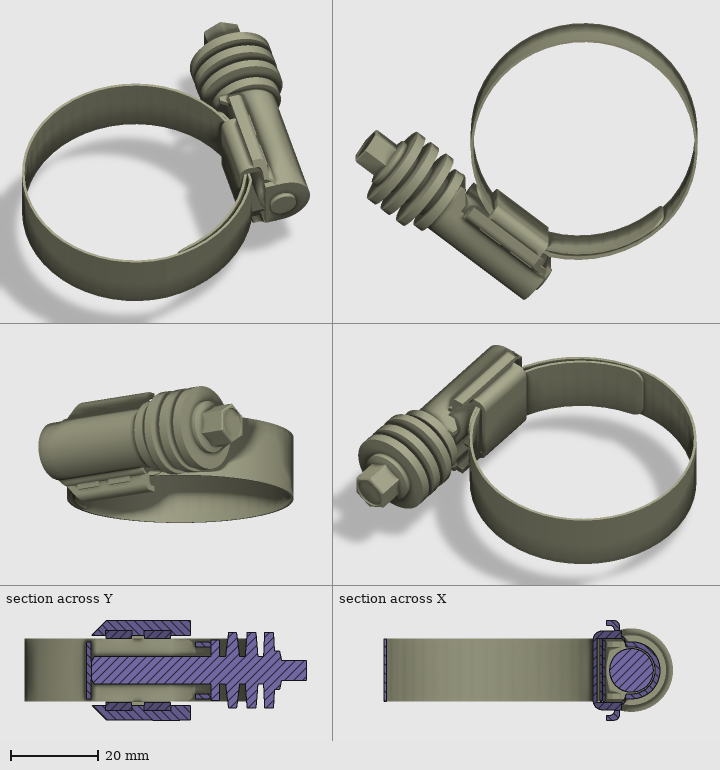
import cadquery as cq
import math


BAND_OUTER_RADIUS = 26.0
BAND_THICKNESS = 0.6
BAND_WIDTH = 14.4
TAIL_CORNER_RADIUS = 3.0

SCREW_AXIS_Y = 31.6
SCREW_START_X = -38.88
SCREW_END_X = 13.0

SHEET = 1.25
HOUSING_RADIUS = 6.6
HOUSING_START_X = -16.6
HOUSING_END_X = 11.95

SADDLE_LENGTH = 14.9
SADDLE_FLOOR = 1.0
SADDLE_SIDE = 1.85
SADDLE_HALF_WIDTH = 9.1
SADDLE_BOTTOM_Y = 22.75

HEX_ACROSS_FLATS = 8.0
HEX_END_X = -33.1
HEX_CHAMFER = 0.3
RECESS_RADIUS = 3.5
RECESS_DEPTH = 0.5
HEAD_FLANGE_RADIUS = 5.95
HEAD_CONE_RADIUS = HEX_ACROSS_FLATS / 2
HEAD_CONE_LENGTH = 0.65
WORM_RADIUS = 5.06
WORM_CHAMFER = 0.6
DISC_RADIUS = 9.58
COLLAR_RADIUS = 8.0
COLLAR_LENGTH = 2.15
PIN_RADIUS = 3.0
DISCS = [
    (-31.3, -31.07, -28.95, -28.7),
    (-27.5, -27.05, -24.95, -24.5),
    (-23.3, -22.6, -20.7, -20.0),
]
END_WALL_X = HOUSING_END_X - SHEET


def make_screw():
    """Revolved shank with discs, joined to a hexagonal head with a shallow round recess."""
    flange_rim_x = HEX_END_X + HEAD_CONE_LENGTH
    outline = [
        (HEX_END_X, 0),
        (HEX_END_X, HEAD_CONE_RADIUS),
        (flange_rim_x, HEAD_FLANGE_RADIUS),
        (DISCS[0][0], HEAD_FLANGE_RADIUS),
    ]
    for foot_start, rim_start, rim_end, foot_end in DISCS:
        if foot_start != DISCS[0][0]:
            outline.append((foot_start, WORM_RADIUS))
        outline.append((rim_start, DISC_RADIUS))
        outline.append((rim_end, DISC_RADIUS))
        outline.append((foot_end, WORM_RADIUS))
    collar_start_x = HOUSING_START_X - COLLAR_LENGTH
    outline += [
        (collar_start_x, WORM_RADIUS),
        (collar_start_x, COLLAR_RADIUS),
        (HOUSING_START_X, COLLAR_RADIUS),
        (HOUSING_START_X, WORM_RADIUS),
        (END_WALL_X - WORM_CHAMFER, WORM_RADIUS),
        (END_WALL_X, WORM_RADIUS - WORM_CHAMFER),
        (END_WALL_X, PIN_RADIUS),
        (SCREW_END_X, PIN_RADIUS),
        (SCREW_END_X, 0),
    ]
    shank = cq.Workplane("XY").polyline(outline).close().revolve(360, (0, 0, 0), (1, 0, 0))

    head_length = flange_rim_x - SCREW_START_X
    corner_radius = HEX_ACROSS_FLATS / math.sqrt(3)
    start_plane = cq.Workplane("YZ", origin=(SCREW_START_X, 0, 0))
    head = (
        start_plane.transformed(rotate=(0, 0, 90))
        .polygon(6, 2 * corner_radius)
        .extrude(head_length)
        .faces("<X")
        .chamfer(HEX_CHAMFER)
    )
    recess = start_plane.circle(RECESS_RADIUS).extrude(RECESS_DEPTH)
    return shank.union(head).cut(recess).translate((0, SCREW_AXIS_Y, 0))


BORE_RADIUS = HOUSING_RADIUS - SHEET
FLANGE_TOP_Y = 28.9
FLANGE_BOTTOM_Y = FLANGE_TOP_Y - SHEET
FLANGE_START_X = -12.0
BEND_INNER_RADIUS = 1.35
BEND_OUTER_RADIUS = BEND_INNER_RADIUS + SHEET
HOOK_HALF_WIDTH = 11.5
HOOK_TIP_Y = 25.8
HOOK_OUTER_RADIUS = 1.4
HOOK_INNER_RADIUS = 1.0
FLANGE_CUT_START_X = 7.2
LEG_TIP_Y = 24.7
LEG_TIP_X = -15.3
NOTCH_X = -13.1
NOTCH_BOTTOM_Y = 27.3
NOTCH_TOP_Y = 29.3
NOTCH_CORNER_RADIUS = 0.3
FRONT_CHAMFER_LENGTH = 0.5
FRONT_CHAMFER_DROP = 0.3

TAB_TOP_Y = 29.35
TAB_LENGTH = 6.0
TAB_CENTRE_X = (SADDLE_LENGTH - TAB_LENGTH) / 2


def tab_blocks():
    """The four saddle tabs, from the flange underside up to the tab tops."""
    tab_height = TAB_TOP_Y - FLANGE_BOTTOM_Y
    tab_z = SADDLE_HALF_WIDTH - SADDLE_SIDE / 2
    centres = [(x, z) for x in (-TAB_CENTRE_X, TAB_CENTRE_X) for z in (-tab_z, tab_z)]
    blocks = cq.Workplane("XY")
    for x, z in centres:
        block = cq.Workplane("XY").box(TAB_LENGTH, tab_height, SADDLE_SIDE)
        blocks = blocks.add(block.translate((x, FLANGE_BOTTOM_Y + tab_height / 2, z)))
    return blocks.combine()


def arch(radius):
    """Half-round roof of the given radius with straight sides down to the leg tips."""
    return (
        cq.Workplane("YZ", origin=(HOUSING_START_X, 0, 0))
        .moveTo(LEG_TIP_Y, -radius)
        .lineTo(SCREW_AXIS_Y, -radius)
        .threePointArc((SCREW_AXIS_Y + radius, 0), (SCREW_AXIS_Y, radius))
        .lineTo(LEG_TIP_Y, radius)
        .close()
        .extrude(HOUSING_END_X - HOUSING_START_X)
    )


def make_roof_and_legs():
    """Roof over the worm with two front legs, each with a slanted tip and a relief notch."""
    shell = arch(HOUSING_RADIUS).faces("<X").chamfer(FRONT_CHAMFER_LENGTH, FRONT_CHAMFER_DROP)
    shell = shell.cut(arch(BORE_RADIUS))
    behind_legs = (
        cq.Workplane("XY")
        .moveTo(LEG_TIP_X, LEG_TIP_Y)
        .lineTo(NOTCH_X, NOTCH_BOTTOM_Y)
        .lineTo(NOTCH_X, NOTCH_TOP_Y - NOTCH_CORNER_RADIUS)
        .radiusArc((NOTCH_X + NOTCH_CORNER_RADIUS, NOTCH_TOP_Y), NOTCH_CORNER_RADIUS)
        .lineTo(FLANGE_START_X, NOTCH_TOP_Y)
        .lineTo(FLANGE_START_X, SCREW_AXIS_Y)
        .lineTo(HOUSING_END_X, SCREW_AXIS_Y)
        .lineTo(HOUSING_END_X, LEG_TIP_Y)
        .close()
        .extrude(HOUSING_RADIUS, both=True)
    )
    return shell.cut(behind_legs)


def make_hooked_wall():
    """Side wall on +Z that bends out into a flange and ends in a downturned hook."""
    hook_inner_z = HOOK_HALF_WIDTH - SHEET
    section = (
        cq.Workplane("YZ", origin=(FLANGE_START_X, 0, 0))
        .moveTo(SCREW_AXIS_Y, BORE_RADIUS)
        .lineTo(SCREW_AXIS_Y, HOUSING_RADIUS)
        .lineTo(FLANGE_TOP_Y + BEND_INNER_RADIUS, HOUSING_RADIUS)
        .radiusArc((FLANGE_TOP_Y, HOUSING_RADIUS + BEND_INNER_RADIUS), -BEND_INNER_RADIUS)
        .lineTo(FLANGE_TOP_Y, HOOK_HALF_WIDTH - HOOK_OUTER_RADIUS)
        .radiusArc((FLANGE_TOP_Y - HOOK_OUTER_RADIUS, HOOK_HALF_WIDTH), -HOOK_OUTER_RADIUS)
        .lineTo(HOOK_TIP_Y, HOOK_HALF_WIDTH)
        .lineTo(HOOK_TIP_Y, hook_inner_z)
        .lineTo(FLANGE_BOTTOM_Y - HOOK_INNER_RADIUS, hook_inner_z)
        .radiusArc((FLANGE_BOTTOM_Y, hook_inner_z - HOOK_INNER_RADIUS), HOOK_INNER_RADIUS)
        .lineTo(FLANGE_BOTTOM_Y, BORE_RADIUS + BEND_OUTER_RADIUS)
        .radiusArc((FLANGE_BOTTOM_Y + BEND_OUTER_RADIUS, BORE_RADIUS), BEND_OUTER_RADIUS)
        .close()
    )
    wall = section.extrude(HOUSING_END_X - FLANGE_START_X)
    cut_run = HOUSING_END_X - FLANGE_CUT_START_X
    corner_cut = (
        cq.Workplane("XZ", origin=(0, SCREW_AXIS_Y, 0))
        .polyline([
            (FLANGE_CUT_START_X, HOOK_HALF_WIDTH),
            (HOUSING_END_X, HOOK_HALF_WIDTH),
            (HOUSING_END_X, HOOK_HALF_WIDTH - cut_run),
        ])
        .close()
        .extrude(SCREW_AXIS_Y - HOOK_TIP_Y)
    )
    return wall.cut(corner_cut)


def make_end_wall():
    """Wall closing the far end down to the flange underside, with a hole for the screw pin."""
    below_axis = SCREW_AXIS_Y - FLANGE_BOTTOM_Y
    outline = (
        cq.Workplane("YZ", origin=(END_WALL_X, SCREW_AXIS_Y, 0))
        .moveTo(-below_axis, -HOUSING_RADIUS)
        .lineTo(0, -HOUSING_RADIUS)
        .threePointArc((HOUSING_RADIUS, 0), (0, HOUSING_RADIUS))
        .lineTo(-below_axis, HOUSING_RADIUS)
        .close()
    )
    return outline.extrude(SHEET).faces(">X").workplane(origin=(0, SCREW_AXIS_Y, 0)).hole(2 * PIN_RADIUS)


def make_housing():
    """Roof, legs, two hooked side walls and end wall as one sheet body, slotted for the saddle tabs."""
    wall = make_hooked_wall()
    housing = make_roof_and_legs().union(wall).union(wall.mirror("XY")).union(make_end_wall())
    return housing.cut(tab_blocks())


SADDLE_CORNER_RADIUS = 2.2


def make_saddle():
    """U-shaped strap that carries the band and ends in four tabs."""
    depth = FLANGE_BOTTOM_Y - SADDLE_BOTTOM_Y
    end_plane = cq.Workplane("YZ", origin=(-SADDLE_LENGTH / 2, SADDLE_BOTTOM_Y, 0))
    outer = (
        end_plane.center(depth / 2, 0).rect(depth, 2 * SADDLE_HALF_WIDTH).extrude(SADDLE_LENGTH)
        .edges("|X and <Y").fillet(SADDLE_CORNER_RADIUS)
    )
    inner = (
        end_plane.center(SADDLE_FLOOR + depth / 2, 0)
        .rect(depth, 2 * (SADDLE_HALF_WIDTH - SADDLE_SIDE)).extrude(SADDLE_LENGTH)
    )
    return outer.cut(inner).union(tab_blocks())


SADDLE_ENTRY_X = -SADDLE_LENGTH / 2
TAIL_GAP = 0.03
OUTER_TAIL_RADIUS = BAND_OUTER_RADIUS + BAND_THICKNESS + TAIL_GAP
OUTER_TAIL_TIP_X = -13.2
OUTER_LAYER_BEND = (9.5, 25.1)
OUTER_LAYER_MIDDLE = (17.35, 19.65)
INNER_LAYER_EXIT = (7.6, 24.4)
INNER_LAYER_BEND = (11.2, 22.65)
INNER_TAIL_MIDDLE = (16.4, 18.8)
INNER_TAIL_TIP = (24.95, 2.3)


def on_upper_circle(x, radius):
    """Point at the given x on the upper half of a circle about the band centre."""
    return (x, math.sqrt(radius ** 2 - x ** 2))


def inward(point):
    """The point moved by the band thickness towards the band centre."""
    scale = 1 - BAND_THICKNESS / math.hypot(*point)
    return (point[0] * scale, point[1] * scale)


def make_band():
    """Spiral strip: outer tail, saddle, one full turn, saddle again, inner tail."""
    outer_tip = on_upper_circle(OUTER_TAIL_TIP_X, OUTER_TAIL_RADIUS)
    outer_tail_middle = on_upper_circle((OUTER_TAIL_TIP_X + SADDLE_ENTRY_X) / 2, OUTER_TAIL_RADIUS)
    outer_tail_root = on_upper_circle(SADDLE_ENTRY_X, OUTER_TAIL_RADIUS)
    turn_start = (BAND_OUTER_RADIUS, 0)
    turn_bottom = (0, -BAND_OUTER_RADIUS)
    turn_end = on_upper_circle(SADDLE_ENTRY_X, BAND_OUTER_RADIUS)

    outline = (
        cq.Workplane("XY", origin=(0, 0, -BAND_WIDTH / 2))
        .moveTo(*outer_tip)
        .threePointArc(outer_tail_middle, outer_tail_root)
        .lineTo(*OUTER_LAYER_BEND)
        .threePointArc(OUTER_LAYER_MIDDLE, turn_start)
        .threePointArc(turn_bottom, turn_end)
        .lineTo(*INNER_LAYER_EXIT)
        .lineTo(*INNER_LAYER_BEND)
        .threePointArc(INNER_TAIL_MIDDLE, INNER_TAIL_TIP)
        .lineTo(*inward(INNER_TAIL_TIP))
        .threePointArc(inward(INNER_TAIL_MIDDLE), inward(INNER_LAYER_BEND))
        .lineTo(*inward(INNER_LAYER_EXIT))
        .lineTo(*inward(turn_end))
        .threePointArc(inward(turn_bottom), inward(turn_start))
        .threePointArc(inward(OUTER_LAYER_MIDDLE), inward(OUTER_LAYER_BEND))
        .lineTo(*inward(outer_tail_root))
        .threePointArc(inward(outer_tail_middle), inward(outer_tip))
        .close()
    )
    band = outline.extrude(BAND_WIDTH)
    for tip in (outer_tip, INNER_TAIL_TIP):
        tip_face = band.faces(cq.NearestToPointSelector((*tip, 0)))
        band = tip_face.edges("not |Z").fillet(TAIL_CORNER_RADIUS)
    return band


screw = make_screw()
housing = make_housing()
saddle = make_saddle()
band = make_band()

result = cq.Compound.makeCompound([screw.val(), housing.val(), saddle.val(), band.val()])